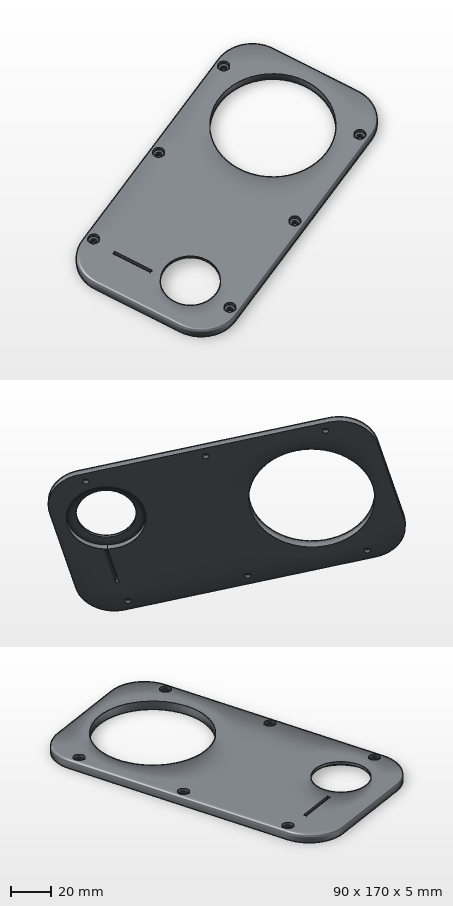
import cadquery as cq

length = 170.0
width = 90.0
thickness = 5.0
corner_radius = 20.0
edge_radius = 2.0

large_diameter = 63.0
large_y = 44.0
small_diameter = 30.1
small_center = (14.6, -58.5)
lip_thickness = 1.5
relief_diameter = 40.0
slot_length = 22.0
slot_width = 1.5
slot_center = (-16.0, -64.0)

screw_diameter = 3.0
head_diameter = 6.0
head_depth = 2.0
screw_column_spacing = 79.9
screw_row_spacing = 62.0


def make_plate():
    blank = cq.Workplane("XY").box(width, length, thickness, centered=(True, True, False))
    return blank.edges("|Z").fillet(corner_radius).faces(">Z").edges().fillet(edge_radius)


def cut_openings(plate):
    top = cq.Workplane("XY").workplane(offset=thickness)
    large_hole = top.center(0, large_y).circle(large_diameter / 2).extrude(-thickness)
    small_hole = top.center(*small_center).circle(small_diameter / 2).extrude(-thickness)
    relief = (
        cq.Workplane("XY")
        .center(*small_center)
        .circle(relief_diameter / 2)
        .extrude(thickness - lip_thickness)
    )
    slot = top.center(*slot_center).rect(slot_length, slot_width).extrude(-thickness)
    return plate.cut(large_hole).cut(small_hole).cut(relief).cut(slot)


def cut_screw_holes(plate):
    top = cq.Workplane("XY").workplane(offset=thickness)
    centers = top.rarray(screw_column_spacing, screw_row_spacing, 2, 3)
    shanks = centers.circle(screw_diameter / 2).extrude(-thickness)
    heads = centers.circle(head_diameter / 2).extrude(-head_depth)
    return plate.cut(shanks).cut(heads)


result = cut_screw_holes(cut_openings(make_plate()))